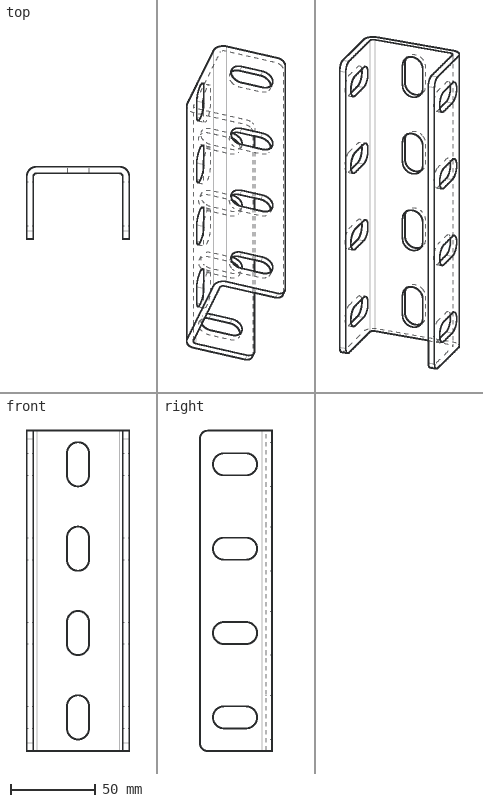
import cadquery as cq

width = 61.0
depth = 43.0
length = 190.0
thickness = 4.0
inner_bend_radius = 2.0
outer_bend_radius = inner_bend_radius + thickness
flange_corner_radius = 5.0

slot_length = 26.0
slot_width = 13.0
slot_pitch = 50.0
slot_count = 4
flange_slot_from_back = 22.0

back_y = depth / 2
first_slot_z = (length - (slot_count - 1) * slot_pitch) / 2
slot_heights = [first_slot_z + i * slot_pitch for i in range(slot_count)]


def make_channel():
    """Bent U-channel with rounded bends and rounded flange corners."""
    outer = cq.Workplane("XY").box(width, depth, length, centered=(True, True, False))
    outer = outer.edges("|Z and >Y").fillet(outer_bend_radius)
    cavity = (
        cq.Workplane("XY")
        .box(width - 2 * thickness, depth, length, centered=(True, True, False))
        .edges("|Z and >Y")
        .fillet(inner_bend_radius)
        .translate((0, -thickness, 0))
    )
    channel = outer.cut(cavity)
    return channel.faces("<Y").edges("|X").fillet(flange_corner_radius)


def web_slots():
    """Upright slot cutters through the web."""
    return (
        cq.Workplane("XZ", origin=(0, back_y, 0))
        .pushPoints([(0, z) for z in slot_heights])
        .slot2D(slot_length, slot_width, 90)
        .extrude(thickness)
    )


def flange_slots():
    """Crosswise slot cutters through both flanges."""
    slot_y = back_y - flange_slot_from_back
    return (
        cq.Workplane("YZ")
        .pushPoints([(slot_y, z) for z in slot_heights])
        .slot2D(slot_length, slot_width)
        .extrude(width / 2, both=True)
    )


result = make_channel().cut(web_slots()).cut(flange_slots())